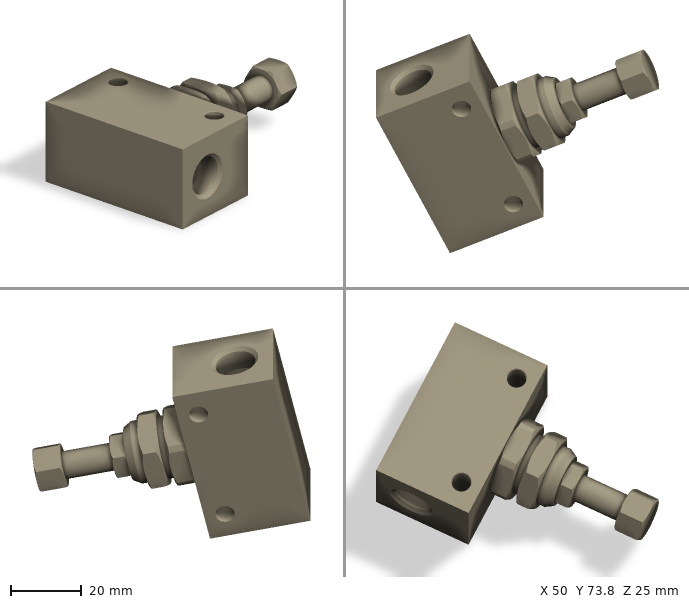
import cadquery as cq
import math

OVERALL_LENGTH = 73.8

BODY_X = 50.0
BODY_Y = 29.15
BODY_Z = 25.0

PORT_DIAMETER = 11.5
PORT_MOUTH_CHAMFER = 1.0
PORT_DEPTH = 7.0
PORT_FROM_SHOULDER = 18.1

MOUNT_DIAMETER = 5.45
MOUNT_MOUTH_CHAMFER = 0.2
MOUNT_MOUTH_ANGLE = 90
MOUNT_SPACING = 35.1
MOUNT_FROM_SHOULDER = 6.0

LOCK_NUT_END = 5.9
PANEL_NUT_START = 7.9
PANEL_NUT_END = 13.5
COLLAR_CONE_START = 15.7
COLLAR_END = 18.0
SMALL_NUT_END = 22.4
KNOB_START = 36.7
KNOB_END = OVERALL_LENGTH - BODY_Y

LOCK_NUT_FLATS = 22.1
LOCK_NUT_DIAMETER = 24.4
PANEL_NUT_FLATS = 21.0
SMALL_HEX_FLATS = 12.0
COLLAR_DIAMETER = 18.0
STEM_DIAMETER = 8.0
BEVEL_ANGLE = math.radians(30)
HEX_SIDES = 6


def along_needle(start):
    """Workplane on the needle axis whose normal points along +Y."""
    return cq.Workplane("XZ", origin=(0, start, 0)).transformed(rotate=(180, 0, 0))


def rod(diameter, start, end):
    """Cylinder on the needle axis between two stations."""
    return along_needle(start).circle(diameter / 2).extrude(end - start)


def hex_nut(flats, start, end, outer_diameter=None):
    """Hexagon with two flats facing +Z and -Z and both ends bevelled at 30 degrees.

    An outer diameter smaller than the width across corners rounds the corners off.
    """
    corners = flats / math.cos(math.pi / HEX_SIDES)
    outer_radius = (outer_diameter or corners) / 2
    face_radius = flats / 2
    bevel = (outer_radius - face_radius) * math.tan(BEVEL_ANGLE)
    prism = along_needle(start).polygon(HEX_SIDES, corners).extrude(end - start)
    envelope = (
        cq.Workplane("XY")
        .moveTo(0, start)
        .lineTo(face_radius, start)
        .lineTo(outer_radius, start + bevel)
        .lineTo(outer_radius, end - bevel)
        .lineTo(face_radius, end)
        .lineTo(0, end)
        .close()
        .revolve(360, (0, 0, 0), (0, 1, 0))
    )
    return prism.intersect(envelope)


def collar():
    """Threaded collar on the shoulder, tapering towards its outer end."""
    cone_length = COLLAR_END - COLLAR_CONE_START
    cone_inset = cone_length * math.tan(BEVEL_ANGLE)
    return rod(COLLAR_DIAMETER, 0, COLLAR_END).faces(">Y").chamfer(cone_length, cone_inset)


def port(side):
    """Cutter for the blind port in the +X (side = 1) or -X (side = -1) end."""
    end_x = BODY_X / 2
    radius = PORT_DIAMETER / 2
    cutter = (
        cq.Workplane("XY")
        .moveTo(end_x - PORT_DEPTH, 0)
        .lineTo(end_x - PORT_DEPTH, radius)
        .lineTo(end_x - PORT_MOUTH_CHAMFER, radius)
        .lineTo(end_x, radius + PORT_MOUTH_CHAMFER)
        .lineTo(end_x, 0)
        .close()
        .revolve(360, (0, 0, 0), (1, 0, 0))
    )
    if side < 0:
        cutter = cutter.mirror("YZ")
    return cutter.translate((0, -PORT_FROM_SHOULDER, 0))


def body():
    """Block with a port in each X end and two mounting holes."""
    block = cq.Workplane("XY").box(BODY_X, BODY_Y, BODY_Z).translate((0, -BODY_Y / 2, 0))
    for side in (-1, 1):
        block = block.cut(port(side))
    mount_mouth = MOUNT_DIAMETER + 2 * MOUNT_MOUTH_CHAMFER
    return (
        block.faces(">Z")
        .workplane(origin=(0, -MOUNT_FROM_SHOULDER, 0))
        .rarray(MOUNT_SPACING, 0.75, 2, 1)
        .cskHole(MOUNT_DIAMETER, mount_mouth, MOUNT_MOUTH_ANGLE)
    )


result = (
    body()
    .union(collar())
    .union(hex_nut(LOCK_NUT_FLATS, 0, LOCK_NUT_END, LOCK_NUT_DIAMETER))
    .union(hex_nut(PANEL_NUT_FLATS, PANEL_NUT_START, PANEL_NUT_END))
    .union(hex_nut(SMALL_HEX_FLATS, COLLAR_END, SMALL_NUT_END))
    .union(rod(STEM_DIAMETER, COLLAR_END, KNOB_START))
    .union(hex_nut(SMALL_HEX_FLATS, KNOB_START, KNOB_END))
)